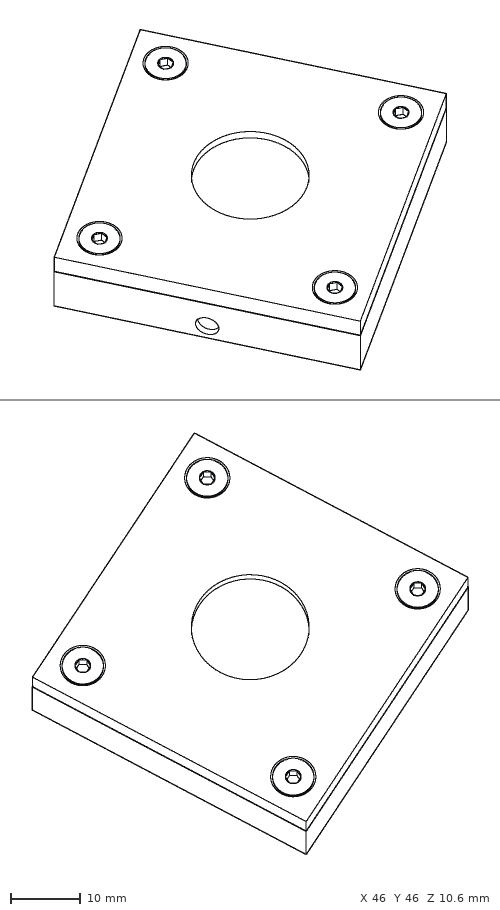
import cadquery as cq

side = 46.0
total_height = 10.55

lid_side = 45.95
lid_thickness = 3.05
lid_bottom = total_height - lid_thickness

joint_gap = 0.1
core_radius = 22.0
base_height = lid_bottom - joint_gap

window_diameter = 17.0
window_depth = 1.4

port_diameter = 3.5
port_height = 2.58

screw_offset = 17.65
countersink_radius = 3.25
groove_width = 0.28
hex_across_corners = 2.25
hex_depth = 1.6
hex_rotation = 30.0
socket_bevel_radius = 1.15
socket_bevel_depth = 0.15
bevel_angle = 45.0


def make_base():
    """Square base with a front port that stops at the cylindrical core."""
    block = cq.Workplane().rect(side, side).extrude(base_height)
    port = (
        cq.Workplane("XZ", origin=(0, -side / 2, port_height))
        .circle(port_diameter / 2)
        .extrude(-port_diameter)
    )
    core = cq.Workplane().circle(core_radius).extrude(lid_bottom)
    return block.cut(port).union(core)


def head_groove(center):
    """Ring groove around a screw head: conical outer wall, straight inner wall."""
    top = cq.Workplane(origin=center)
    cone = top.circle(countersink_radius).extrude(-groove_width, taper=bevel_angle)
    head = top.circle(countersink_radius - groove_width).extrude(-groove_width)
    return cone.cut(head)


def hex_socket(center):
    """Hexagonal screw socket with a small conical lead-in."""
    top = cq.Workplane(origin=center)
    hexagon = (
        top.transformed(rotate=(0, 0, hex_rotation))
        .polygon(6, hex_across_corners)
        .extrude(-hex_depth)
    )
    bevel = top.circle(socket_bevel_radius).extrude(-socket_bevel_depth, taper=bevel_angle)
    return hexagon.union(bevel)


def make_lid():
    """Square lid with the window recess and four screw heads."""
    plate = cq.Workplane(origin=(0, 0, lid_bottom)).rect(lid_side, lid_side).extrude(lid_thickness)
    window = (
        cq.Workplane(origin=(0, 0, total_height))
        .circle(window_diameter / 2)
        .extrude(-window_depth)
    )
    plate = plate.cut(window)
    for x in (-screw_offset, screw_offset):
        for y in (-screw_offset, screw_offset):
            center = (x, y, total_height)
            plate = plate.cut(head_groove(center)).cut(hex_socket(center))
    return plate


base = make_base()
lid = make_lid()

result = cq.Compound.makeCompound([base.solids().val(), lid.solids().val()])